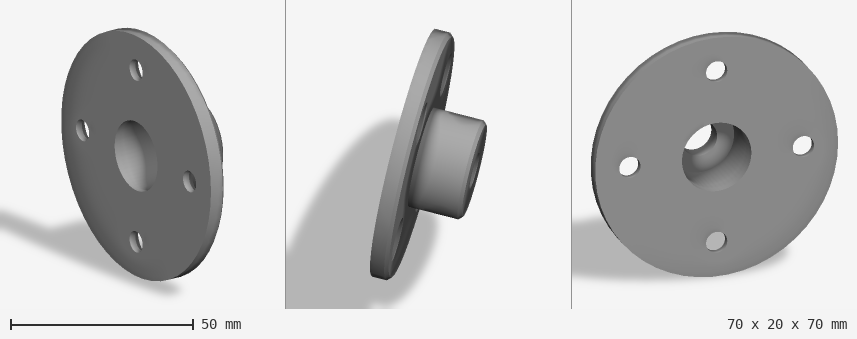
import cadquery as cq
import math

flange_diameter = 70.0
flange_thickness = 5.0

hub_diameter = 28.0
overall_length = 20.0

edge_chamfer = 1.0

pocket_diameter = 20.0
end_wall_thickness = 5.0
pocket_depth = overall_length - end_wall_thickness
through_diameter = 10.2

mounting_hole_diameter = 6.1
mounting_circle_diameter = 50.0
mounting_hole_count = 4
countersink_depth = 3.0
countersink_angle = 90.0
countersink_flare = countersink_depth * math.tan(math.radians(countersink_angle / 2))
countersink_diameter = mounting_hole_diameter + 2 * countersink_flare


def cylinder_along_y(diameter, length):
    """Cylinder on the Y axis, from the flat face at Y = 0 to Y = length."""
    return cq.Workplane("XZ").circle(diameter / 2).extrude(-length)


def chamfered_cylinder(diameter, length):
    """Cylinder on the Y axis with its +Y rim chamfered."""
    return cylinder_along_y(diameter, length).faces(">Y").edges().chamfer(edge_chamfer)


def drill_mounting_holes(body):
    """Drill the countersunk holes, equally spaced around the Y axis, from the hub side of the flange."""
    return (
        body.copyWorkplane(cq.Workplane("ZX", origin=(0, flange_thickness, 0)))
        .polarArray(mounting_circle_diameter / 2, 0, 360, mounting_hole_count)
        .cskHole(mounting_hole_diameter, countersink_diameter, countersink_angle, flange_thickness)
    )


flange = drill_mounting_holes(chamfered_cylinder(flange_diameter, flange_thickness))
hub = chamfered_cylinder(hub_diameter, overall_length)

result = (
    flange.union(hub)
    .cut(cylinder_along_y(pocket_diameter, pocket_depth))
    .cut(cylinder_along_y(through_diameter, overall_length))
)